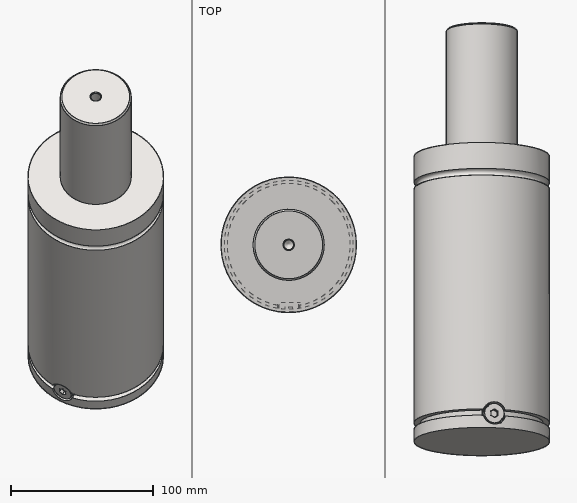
import cadquery as cq
import math

total_height = 295.0
body_diameter = 95.0
body_height = 204.0
rod_diameter = 50.0
rod_chamfer = 1.2

foot_groove_bottom = 8.8
foot_groove_width = 4.5
foot_groove_depth = 4.5

head_groove_center = 183.2
head_groove_width = 4.7
head_groove_depth = head_groove_width / 2

rod_hole_diameter = 6.8
rod_hole_depth = 14.8
rod_hole_chamfer = 0.5
drill_point_angle = 118.0

port_height = 10.5
port_diameter = 16.0
port_depth = 7.0
plug_diameter = 14.0
plug_recess = 1.0
socket_across_corners = 6.0
socket_depth = 3.0

body_radius = body_diameter / 2
rod_radius = rod_diameter / 2


def make_cylinder_and_rod():
    """Revolve the half section of the body, its two grooves and the rod."""
    foot_floor = body_radius - foot_groove_depth
    foot_groove_top = foot_groove_bottom + foot_groove_width
    head_groove_bottom = head_groove_center - head_groove_width / 2
    head_groove_top = head_groove_center + head_groove_width / 2
    return (
        cq.Workplane("XZ")
        .lineTo(body_radius, 0)
        .lineTo(body_radius, foot_groove_bottom)
        .lineTo(foot_floor, foot_groove_bottom)
        .lineTo(foot_floor, foot_groove_top)
        .lineTo(body_radius, foot_groove_top)
        .lineTo(body_radius, head_groove_bottom)
        .threePointArc(
            (body_radius - head_groove_depth, head_groove_center),
            (body_radius, head_groove_top),
        )
        .lineTo(body_radius, body_height)
        .lineTo(rod_radius, body_height)
        .lineTo(rod_radius, total_height - rod_chamfer)
        .lineTo(rod_radius - rod_chamfer, total_height)
        .lineTo(0, total_height)
        .close()
        .revolve(360, (0, 0, 0), (0, 1, 0))
    )


def make_rod_hole():
    """Chamfered blind hole with a drill point, as a solid to cut away."""
    radius = rod_hole_diameter / 2
    hole_floor = total_height - rod_hole_depth
    point_length = radius / math.tan(math.radians(drill_point_angle / 2))
    return (
        cq.Workplane("XZ")
        .moveTo(0, total_height)
        .lineTo(radius + rod_hole_chamfer, total_height)
        .lineTo(radius, total_height - rod_hole_chamfer)
        .lineTo(radius, hole_floor)
        .lineTo(0, hole_floor - point_length)
        .close()
        .revolve(360, (0, 0, 0), (0, 1, 0))
    )


def port_plane(depth):
    """Plane facing -Y at the port axis, sunk below the body surface."""
    return cq.Workplane("XZ", origin=(0, depth - body_radius, port_height))


def add_port(part):
    """Cut the port pocket and set the socketed plug into it."""
    pocket = port_plane(port_depth).circle(port_diameter / 2).extrude(port_depth)
    plug = (
        port_plane(port_depth)
        .circle(plug_diameter / 2)
        .extrude(port_depth - plug_recess)
    )
    socket = (
        port_plane(plug_recess + socket_depth)
        .transformed(rotate=(0, 0, 90))
        .polygon(6, socket_across_corners)
        .extrude(socket_depth)
    )
    return part.cut(pocket).union(plug).cut(socket)


result = add_port(make_cylinder_and_rod().cut(make_rod_hole()))